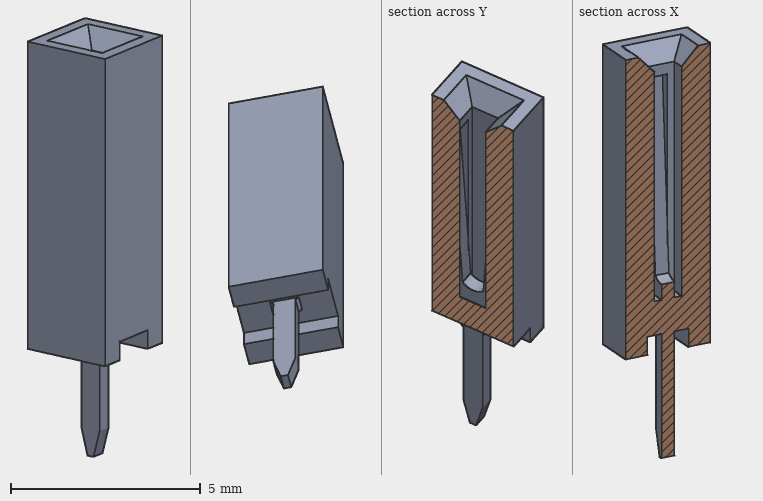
import cadquery as cq

total_height = 11.5
housing_side = 2.54
pin_length = 3.0
housing_height = total_height - pin_length

groove_width = 1.22
groove_height = 0.52

mouth_side = 1.79
socket_side = 0.8
mouth_depth = 0.51
mouth_bottom = housing_height - mouth_depth
socket_floor = 1.5

contact_thickness = 0.4
fork_top = mouth_bottom - 0.32
fork_root_half_width = 0.32
fork_root_depth = 0.14
fork_root_z = socket_floor + 0.58
fork_tip_half_gap = 0.68

pin_width = 0.6
pin_tip_width = 0.2
pin_taper_length = 0.75
shoulder_height = 0.09
shoulder_flare = 0.09


def contact_plate(outline):
    """Extrude an XZ outline to the contact thickness, centred on Y."""
    return outline.close().extrude(contact_thickness / 2, both=True)


def make_housing():
    body = cq.Workplane("XY").rect(housing_side, housing_side).extrude(housing_height)
    groove = cq.Workplane("XY").box(
        housing_side, groove_width, groove_height, centered=(True, True, False)
    )
    mouth = (
        cq.Workplane("XY", origin=(0, 0, mouth_bottom))
        .rect(socket_side, socket_side)
        .workplane(offset=mouth_depth)
        .rect(mouth_side, mouth_side)
        .loft(combine=True)
    )
    socket = (
        cq.Workplane("XY", origin=(0, 0, socket_floor))
        .rect(socket_side, socket_side)
        .extrude(mouth_bottom - socket_floor)
    )
    return body.cut(groove).cut(mouth).cut(socket)


def make_fork_base():
    """Solid root of the contact that fills the socket up to the fork arms."""
    return (
        cq.Workplane("XY", origin=(0, 0, socket_floor))
        .rect(socket_side, contact_thickness)
        .extrude(fork_top - socket_floor)
    )


def make_fork_gap():
    """Round-bottomed gap between the arms, widening towards the mouth."""
    outline = (
        cq.Workplane("XZ")
        .moveTo(-fork_tip_half_gap, fork_top)
        .lineTo(-fork_root_half_width, fork_root_z)
        .threePointArc(
            (0, fork_root_z - fork_root_depth),
            (fork_root_half_width, fork_root_z),
        )
        .lineTo(fork_tip_half_gap, fork_top)
    )
    return contact_plate(outline)


def make_pin():
    """Tapered pin whose shoulder flares out where it enters the housing."""
    half_width = pin_width / 2
    half_tip = pin_tip_width / 2
    half_shoulder = half_width + shoulder_flare
    taper_start = pin_taper_length - pin_length
    shoulder_start = groove_height - shoulder_height
    outline = cq.Workplane("XZ").polyline([
        (-half_tip, -pin_length),
        (half_tip, -pin_length),
        (half_width, taper_start),
        (half_width, shoulder_start),
        (half_shoulder, groove_height),
        (half_shoulder, socket_floor),
        (-half_shoulder, socket_floor),
        (-half_shoulder, groove_height),
        (-half_width, shoulder_start),
        (-half_width, taper_start),
    ])
    return contact_plate(outline)


result = make_housing().union(make_fork_base()).cut(make_fork_gap()).union(make_pin())